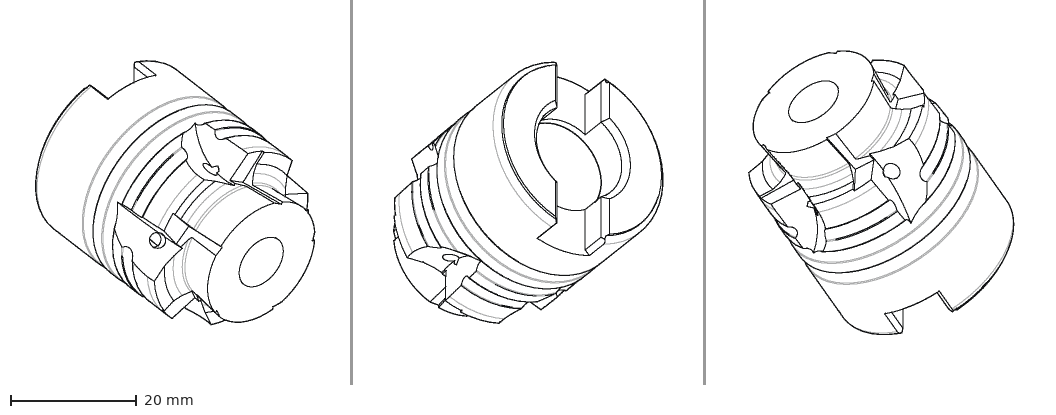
import cadquery as cq
import math

total_length = 38.55
body_radius = 16.0
land_radius = 15.95
cutting_radius = 15.85
drive_edge_round = 1.0
step_length = 0.45
step_radius = body_radius - drive_edge_round
face_radius = 14.95

lead_x = 29.3

rim_x = 31.05
rim_radius = 15.8
dish_x = 30.75
dish_radius = 13.5
shoulder_radius = 11.95
neck_x = 31.8
neck_root_radius = 10.35
neck_end_radius = 10.95
neck_root_fillet = 0.4

first_groove_x = 14.35
groove_pitch = 4.95
groove_floor_radius = 15.12
groove_arc_radius = 1.35
groove_edge_round = 0.2

bore_mouth_diameter = 16.15
bore_mouth_depth = 7.0
bore_diameter = 16.0
bore_chamfer = 1.0
bore_floor_x = 20.8
countersink_diameter = 13.1
through_diameter = 9.0

slot_width = 8.3
slot_depth = 5.65
slot_chamfer = 1.0
slot_outer_chamfer = 0.8

flute_count = 5
flute_pitch_angle = 360.0 / flute_count
corner_angle = 18.7
corner_radius = 11.0
wall_angle = 56.0
floor_angle = -38.0
wall_tilt = 3.75
flute_floor_radius = 14.0
flute_lowest_x = 29.3
cutter_reach = 12.0

notch_offset = 3.5
notch_step = 0.3
notch_floor_tilt = 5.5
notch_start_x = 30.2
notch_end_lean = 6.0

coolant_diameter = 2.5
coolant_entry_angle = -18.5
coolant_entry_radius = 8.15
coolant_exit_x = 26.6
coolant_exit_angle = 13.4
coolant_exit_radius = 11.9
coolant_entry_overrun = 2.5
coolant_exit_overrun = 0.9


def point_at(x, radius, angle):
    """Point on the part from axial place, radius and angle from -Y towards +Z."""
    a = math.radians(angle)
    return cq.Vector(x, -radius * math.cos(a), radius * math.sin(a))


def repeat_around(cutter):
    """One cutter for each flute, spread evenly around the X axis."""
    return [cutter.rotate((0, 0, 0), (1, 0, 0), i * flute_pitch_angle) for i in range(flute_count)]


def ring_groove(profile, x, radius_before, radius_after):
    """Continue the outer profile up to and across a ring groove with rounded edges."""
    floor_center_r = groove_floor_radius + groove_arc_radius
    center_distance = groove_arc_radius + groove_edge_round

    def edge(radius, side):
        round_center_r = radius - groove_edge_round
        drop = floor_center_r - round_center_r
        reach = math.sqrt(center_distance ** 2 - drop ** 2)
        lean = math.atan2(reach, drop)
        center_x = x + side * reach
        land_point = (center_x, radius)
        middle = (
            center_x - side * groove_edge_round * math.sin(lean / 2),
            round_center_r + groove_edge_round * math.cos(lean / 2),
        )
        groove_point = (
            center_x - side * groove_edge_round * math.sin(lean),
            round_center_r + groove_edge_round * math.cos(lean),
        )
        return land_point, middle, groove_point

    land_in, middle_in, groove_in = edge(radius_before, -1)
    land_out, middle_out, groove_out = edge(radius_after, 1)
    return (
        profile.lineTo(*land_in)
        .threePointArc(middle_in, groove_in)
        .threePointArc((x, groove_floor_radius), groove_out)
        .threePointArc(middle_out, land_out)
    )


def turned_body():
    profile = (
        cq.Workplane("XY")
        .moveTo(0, 0)
        .lineTo(0, face_radius)
        .lineTo(step_length, step_radius)
        .radiusArc((step_length + drive_edge_round, body_radius), drive_edge_round)
    )
    land_radii = (body_radius, body_radius, land_radius, cutting_radius)
    for i in range(len(land_radii) - 1):
        profile = ring_groove(profile, first_groove_x + i * groove_pitch, land_radii[i], land_radii[i + 1])
    body = (
        profile.lineTo(lead_x, cutting_radius)
        .lineTo(rim_x, rim_radius)
        .lineTo(dish_x, dish_radius)
        .lineTo(rim_x, shoulder_radius)
        .lineTo(neck_x, neck_root_radius)
        .lineTo(total_length, neck_end_radius)
        .lineTo(total_length, 0)
        .close()
        .revolve(360, (0, 0, 0), (1, 0, 0))
    )
    neck_root = cq.selectors.NearestToPointSelector((neck_x, 0, 0))
    return body.edges(neck_root).fillet(neck_root_fillet)


def stepped_bore():
    mouth_radius = bore_mouth_diameter / 2
    bore_radius = bore_diameter / 2
    countersink_radius = countersink_diameter / 2
    through_radius = through_diameter / 2
    countersink_depth = countersink_radius - through_radius
    return (
        cq.Workplane("XY")
        .polyline([
            (0, 0),
            (0, mouth_radius + bore_chamfer),
            (bore_chamfer, mouth_radius),
            (bore_mouth_depth, mouth_radius),
            (bore_mouth_depth, bore_radius),
            (bore_floor_x, bore_radius),
            (bore_floor_x, countersink_radius),
            (bore_floor_x + countersink_depth, through_radius),
            (total_length, through_radius),
            (total_length, 0),
        ])
        .close()
        .revolve(360, (0, 0, 0), (1, 0, 0))
    )


def drive_slot():
    half_width = slot_width / 2
    half_mouth = half_width + slot_chamfer
    return (
        cq.Workplane("XY")
        .polyline([
            (0, half_mouth),
            (slot_chamfer, half_width),
            (slot_depth, half_width),
            (slot_depth, -half_width),
            (slot_chamfer, -half_width),
            (0, -half_mouth),
        ])
        .close()
        .extrude(body_radius, both=True)
    )


def slot_outer_bevel():
    """Wedge that breaks the slot edges along the outside at the +Z end."""
    half_width = slot_width / 2
    half_mouth = half_width + slot_outer_chamfer
    edge_z = math.sqrt(body_radius ** 2 - half_mouth ** 2)
    return (
        cq.Workplane("YZ")
        .polyline([
            (half_width, edge_z - slot_outer_chamfer),
            (half_mouth, edge_z),
            (half_mouth, body_radius),
            (-half_mouth, body_radius),
            (-half_mouth, edge_z),
            (-half_width, edge_z - slot_outer_chamfer),
        ])
        .close()
        .extrude(slot_depth)
    )


corner = point_at(rim_x, corner_radius, corner_angle)
tilt = math.radians(wall_tilt)
axial_lean = cq.Vector(math.sin(tilt), 0, 0)
up_wall = point_at(0, 1, wall_angle)
wall_normal = point_at(0, math.cos(tilt), wall_angle - 90) + axial_lean
along_wall = up_wall.cross(wall_normal)
along_floor = point_at(0, math.cos(tilt), floor_angle) + axial_lean
up_floor = point_at(0, 1, floor_angle + 90)
along_corner = up_floor.cross(along_floor)


def flute():
    sagitta = flute_floor_radius - math.sqrt(flute_floor_radius ** 2 - (rim_x - flute_lowest_x) ** 2)
    hollow = (
        cq.Workplane(cq.Plane(corner, along_corner, along_floor))
        .center(flute_lowest_x - rim_x, flute_floor_radius - sagitta)
        .circle(flute_floor_radius)
        .extrude(cutter_reach, both=True)
    )
    outside_wall = (
        cq.Workplane(cq.Plane(corner, along_wall, wall_normal))
        .rect(2 * total_length, 2 * total_length)
        .extrude(2 * cutter_reach)
    )
    return hollow.intersect(outside_wall)


def notch():
    start = corner + up_floor * notch_step - along_floor * notch_offset
    start = start + along_corner * (notch_start_x - rim_x)
    floor_rise = cutter_reach * math.tan(math.radians(notch_floor_tilt))
    end_lean = cutter_reach * math.tan(math.radians(notch_end_lean))
    return (
        cq.Workplane(cq.Plane(start, along_corner, along_floor))
        .polyline([
            (0, 0),
            (cutter_reach, floor_rise),
            (cutter_reach, cutter_reach),
            (end_lean, cutter_reach),
        ])
        .close()
        .extrude(cutter_reach)
    )


def coolant_hole():
    entry = point_at(bore_floor_x, coolant_entry_radius, coolant_entry_angle)
    exit_point = point_at(coolant_exit_x, coolant_exit_radius, coolant_exit_angle)
    direction = (exit_point - entry).normalized()
    length = (exit_point - entry).Length + coolant_entry_overrun + coolant_exit_overrun
    start = entry - direction * coolant_entry_overrun
    return cq.Workplane(cq.Solid.makeCylinder(coolant_diameter / 2, length, start, direction))


result = turned_body().cut(stepped_bore()).cut(drive_slot())
result = result.cut(slot_outer_bevel()).cut(slot_outer_bevel().mirror("XY"))
for make_cutter in (flute, notch, coolant_hole):
    for cutter in repeat_around(make_cutter()):
        result = result.cut(cutter)